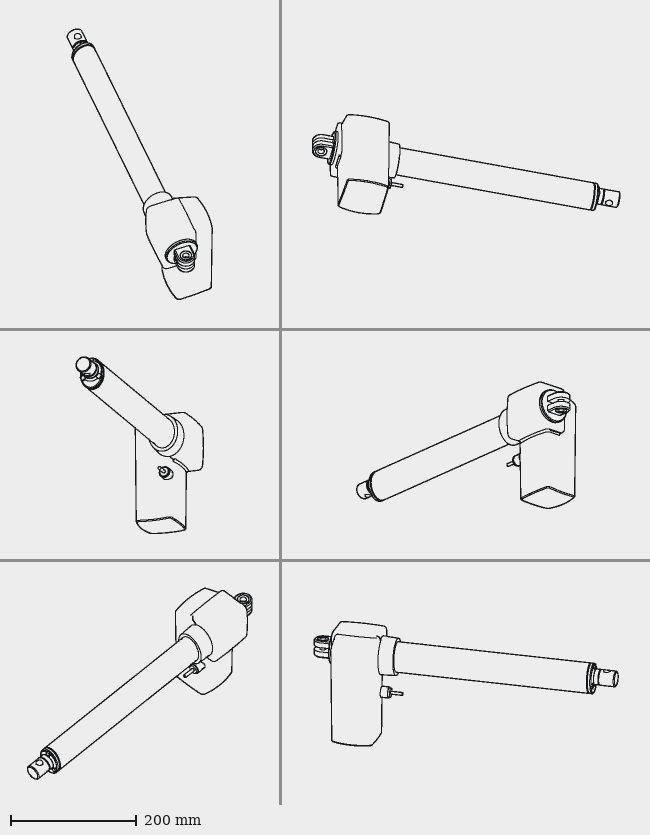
import cadquery as cq
import math

LENGTH = 499.5
OVERLAP = 5.0

ROD_DIAMETER = 25.5
ROD_R = ROD_DIAMETER / 2
EYE_LENGTH = 27.0
EYE_CHAMFER = 1.5
EYE_HOLE_R = 5.5
EYE_HOLE_X = 15.5

TUBE_FRONT_X = 37.0
TUBE_WIDTH = 38.5
TUBE_HEIGHT = 50.5
TUBE_Z = -3.5
TUBE_CHAMFER = 1.5
CAP_GROOVE_X = 42.5
CAP_GROOVE_WIDTH = 1.5
CAP_GROOVE_DEPTH = 0.5

WIPER_FRONT_X = 34.0
WIPER_FRONT_R = 13.5
WIPER_REAR_R = 17.0
LUG_ANGLES = (0, 128, -128)
LUG_WIDTH = 7.0
LUG_LENGTH = 2.5
LUG_REACH = 20.5

HEAD_FRONT_X = 387.5
HEAD_REAR_X = 464.0
HEAD_TOP = 38.0
HEAD_BOTTOM = -39.5
HEAD_NEAR_Y = -32.5
HEAD_FAR_Y = 27.0
HEAD_CROWN = 1.0
HEAD_SIDE_CROWN = 3.0
HEAD_NEAR_R = 8.5
HEAD_FAR_R = 7.0
HEAD_FRONT_R = 5.0
HEAD_REAR_R = 3.0
SEAM_X = 423.0

COLLAR_FRONT_X = 362.5
COLLAR_FRONT_MARGIN = 5.5
COLLAR_REAR_MARGIN = 7.0

LEG_NEAR_Y = -9.5
LEG_FAR_Y = 62.0
LEG_BOTTOM = -141.0
LEG_FRONT_X = 386.5
LEG_NEAR_REAR_X = 460.0
LEG_FAR_REAR_X = 457.0
LEG_FACE_CROWN = 5.0
LEG_DOME_R = 299.5
LEG_DRAFT = 0.5
LEG_NEAR_R = 6.5
LEG_FAR_R = 5.0
LEG_BOTTOM_CHAMFER = 1.5
SHOULDER_INNER_Y = 20.0
SHOULDER_ANGLE = 21.0
SHOULDER_R = 7.5
LEG_FLARE = 4.0
FLARE_ANGLE = 45.0

CABLE_Y = 2.5
CABLE_Z = -65.0
CABLE_FRONT_X = 353.0
CABLE_R = 2.5
GLAND_RIM_X = 372.5
GLAND_RIM_R = 7.5
GLAND_X = 375.5
GLAND_R = 9.0
GLAND_REAR_X = 390.5

FLANGE_R = 27.0
FLANGE_REAR_X = 469.0
FLANGE_CHAMFER = 1.5
EAR_R = 14.0
EAR_OUTER_Z = 14.0
EAR_CHAMFER = 2.0
SLOT_WIDTH = 7.0
PIN_HOLE_R = 5.0
PIN_SEAT_R = 9.0
PIN_SEAT_DEPTH = 1.0


def cylinder_along_x(front_x, rear_x, radius, y=0, z=0):
    """A cylinder between two places along X, at the given Y and Z."""
    return cq.Workplane("YZ", origin=(front_x, y, z)).circle(radius).extrude(rear_x - front_x)


def oval(front_x, margin):
    """An ellipse that stands out from the tube section by the margin, as a sketch at front_x."""
    plane = cq.Workplane("YZ", origin=(front_x, 0, TUBE_Z))
    return plane.ellipse(TUBE_WIDTH / 2 + margin, TUBE_HEIGHT / 2 + margin)


def make_rod_eye():
    eye = cylinder_along_x(0, EYE_LENGTH, ROD_R).faces("<X or >X").chamfer(EYE_CHAMFER)
    hole = cq.Workplane("XY").center(EYE_HOLE_X, 0).circle(EYE_HOLE_R).extrude(ROD_R, both=True)
    return eye.cut(hole)


def make_tube():
    tube = oval(TUBE_FRONT_X, 0).extrude(COLLAR_FRONT_X + OVERLAP - TUBE_FRONT_X)
    tube = tube.faces("<X").chamfer(TUBE_CHAMFER)
    band = oval(CAP_GROOVE_X, OVERLAP).extrude(CAP_GROOVE_WIDTH)
    core = oval(CAP_GROOVE_X, -CAP_GROOVE_DEPTH).extrude(CAP_GROOVE_WIDTH)
    return tube.cut(band.cut(core))


def make_wiper():
    ring = (
        cq.Workplane("YZ", origin=(WIPER_FRONT_X, 0, 0))
        .circle(WIPER_FRONT_R)
        .workplane(offset=TUBE_FRONT_X - WIPER_FRONT_X)
        .circle(WIPER_REAR_R)
        .loft()
    )
    for angle in LUG_ANGLES:
        lug = (
            cq.Workplane("XY")
            .box(LUG_LENGTH + OVERLAP, LUG_WIDTH, LUG_REACH, centered=(False, True, False))
            .translate((TUBE_FRONT_X - LUG_LENGTH, 0, 0))
            .rotate((0, 0, 0), (1, 0, 0), angle)
        )
        ring = ring.union(lug)
    return ring


def make_collar():
    rear_x = HEAD_FRONT_X + OVERLAP
    front = oval(COLLAR_FRONT_X, COLLAR_FRONT_MARGIN).wire().val()
    rear = oval(rear_x, COLLAR_REAR_MARGIN).wire().val()
    return cq.Workplane(cq.Solid.makeLoft([front, rear]))


def make_head():
    """A block whose top, bottom and near faces are crowned, with all edges rounded."""
    mid_z = (HEAD_TOP + HEAD_BOTTOM) / 2
    elevation = (
        cq.Workplane("XZ", origin=(0, HEAD_FAR_Y, 0))
        .moveTo(HEAD_FRONT_X, HEAD_BOTTOM + HEAD_CROWN)
        .threePointArc((SEAM_X, HEAD_BOTTOM), (HEAD_REAR_X, HEAD_BOTTOM + HEAD_CROWN))
        .lineTo(HEAD_REAR_X, HEAD_TOP - HEAD_CROWN)
        .threePointArc((SEAM_X, HEAD_TOP), (HEAD_FRONT_X, HEAD_TOP - HEAD_CROWN))
        .close()
        .extrude(HEAD_FAR_Y - HEAD_NEAR_Y + OVERLAP)
    )
    half_length = (HEAD_REAR_X - HEAD_FRONT_X) / 2
    barrel_r = (half_length**2 + HEAD_CROWN**2) / (2 * HEAD_CROWN)
    barrel = (
        cq.Workplane("YZ", origin=(SEAM_X, HEAD_NEAR_Y + barrel_r, 0))
        .moveTo(0, HEAD_BOTTOM - OVERLAP)
        .lineTo(HEAD_SIDE_CROWN - barrel_r, HEAD_BOTTOM - OVERLAP)
        .threePointArc((-barrel_r, mid_z), (HEAD_SIDE_CROWN - barrel_r, HEAD_TOP + OVERLAP))
        .lineTo(0, HEAD_TOP + OVERLAP)
        .close()
        .revolve(360, (0, 0, 0), (0, 1, 0))
    )
    head = elevation.intersect(barrel)
    for long_face in (">Z", "<Z"):
        head = head.faces(long_face).edges("<Y").fillet(HEAD_NEAR_R)
        head = head.faces(long_face).edges(">Y").fillet(HEAD_FAR_R)
    return head.faces("<X").edges().fillet(HEAD_FRONT_R).faces(">X").edges().fillet(HEAD_REAR_R)


def edges_between(leg, low_y, high_y, low_z, high_z):
    """The edges of the leg whose centres lie inside the given Y and Z ranges."""
    low = (LEG_FRONT_X - OVERLAP, low_y, low_z)
    high = (LEG_NEAR_REAR_X + OVERLAP, high_y, high_z)
    return leg.edges(cq.selectors.BoxSelector(low, high))


def leg_plan(z):
    """The outline of the leg seen along Z, at the given height."""
    return (
        cq.Workplane("XY", origin=(0, 0, z))
        .moveTo(LEG_FRONT_X, LEG_NEAR_Y + LEG_FACE_CROWN)
        .threePointArc((SEAM_X, LEG_NEAR_Y), (LEG_NEAR_REAR_X, LEG_NEAR_Y + LEG_FACE_CROWN))
        .lineTo(LEG_FAR_REAR_X, LEG_FAR_Y - LEG_FACE_CROWN)
        .threePointArc((SEAM_X, LEG_FAR_Y), (LEG_FRONT_X, LEG_FAR_Y - LEG_FACE_CROWN))
        .close()
    )


def make_leg():
    """A drafted column with crowned near and far faces, a sloping shoulder and a domed bottom."""
    column = leg_plan(HEAD_TOP).extrude(LEG_BOTTOM - HEAD_TOP, taper=LEG_DRAFT)
    shoulder_y = LEG_FAR_Y + OVERLAP
    shoulder_fall = (shoulder_y - SHOULDER_INNER_Y) * math.tan(math.radians(SHOULDER_ANGLE))
    roof_z = HEAD_TOP - HEAD_CROWN
    above_shoulder = (
        cq.Workplane("YZ", origin=(LEG_FRONT_X - OVERLAP, 0, 0))
        .moveTo(shoulder_y, roof_z - shoulder_fall)
        .lineTo(SHOULDER_INNER_Y, roof_z)
        .lineTo(LEG_NEAR_Y - OVERLAP, 0)
        .lineTo(LEG_NEAR_Y - OVERLAP, HEAD_TOP + OVERLAP)
        .lineTo(shoulder_y, HEAD_TOP + OVERLAP)
        .close()
        .extrude(LEG_NEAR_REAR_X - LEG_FRONT_X + 2 * OVERLAP)
    )
    leg = column.cut(above_shoulder)
    leg = edges_between(leg, LEG_NEAR_Y, 0, LEG_BOTTOM + OVERLAP, 0).fillet(LEG_NEAR_R)
    leg = edges_between(leg, LEG_FAR_Y - LEG_FACE_CROWN, LEG_FAR_Y, 0, HEAD_TOP).fillet(SHOULDER_R)
    far_y = SHOULDER_INNER_Y + OVERLAP
    leg = edges_between(leg, far_y, LEG_FAR_Y, LEG_BOTTOM + OVERLAP, HEAD_TOP).fillet(LEG_FAR_R)
    mid_y = (LEG_NEAR_Y + LEG_FAR_Y) / 2
    dome = cq.Workplane("XY", origin=(SEAM_X, mid_y, LEG_BOTTOM + LEG_DOME_R)).sphere(LEG_DOME_R)
    leg = leg.intersect(dome)
    return leg.faces("<Z").edges().chamfer(LEG_BOTTOM_CHAMFER)


def make_leg_flare():
    """A bevelled skirt around the leg, kept to the flat part of the head's underside."""
    foot_z = HEAD_BOTTOM + HEAD_CROWN - LEG_FLARE
    draft_inset = (HEAD_TOP - foot_z) * math.tan(math.radians(LEG_DRAFT))
    rounded_plan = leg_plan(foot_z).offset2D(-draft_inset - LEG_NEAR_R).offset2D(LEG_NEAR_R)
    flare = rounded_plan.extrude(LEG_FLARE, taper=-FLARE_ANGLE)
    front_x = HEAD_FRONT_X + HEAD_FRONT_R
    near_y = HEAD_NEAR_Y + HEAD_NEAR_R
    underside = cq.Workplane("XY").box(
        HEAD_REAR_X - HEAD_REAR_R - front_x,
        HEAD_FAR_Y - HEAD_FAR_R - near_y,
        2 * (OVERLAP - HEAD_BOTTOM),
        centered=(False, False, True),
    )
    return flare.intersect(underside.translate((front_x, near_y, 0)))


def make_gland():
    gland = cylinder_along_x(GLAND_X, GLAND_REAR_X, GLAND_R, CABLE_Y, CABLE_Z)
    rim = cylinder_along_x(GLAND_RIM_X, GLAND_X, GLAND_RIM_R, CABLE_Y, CABLE_Z)
    cable = cylinder_along_x(CABLE_FRONT_X, GLAND_RIM_X, CABLE_R, CABLE_Y, CABLE_Z)
    return gland.union(rim).union(cable)


def make_actuator():
    """The fixed body: rod stub, wiper, tube, collar, head, leg and cable."""
    stub = cylinder_along_x(EYE_LENGTH, TUBE_FRONT_X + OVERLAP, ROD_R)
    housing = make_head().union(make_leg()).union(make_leg_flare())
    body = housing.union(make_collar()).union(make_tube())
    return body.union(make_wiper()).union(stub).union(make_gland())


def make_clevis():
    flange = cylinder_along_x(HEAD_REAR_X, FLANGE_REAR_X, FLANGE_R).faces(">X").chamfer(FLANGE_CHAMFER)
    pin_x = LENGTH - EAR_R
    ears = (
        cq.Workplane("XY", origin=(0, 0, -EAR_OUTER_Z))
        .moveTo(FLANGE_REAR_X, -EAR_R)
        .lineTo(pin_x, -EAR_R)
        .threePointArc((LENGTH, 0), (pin_x, EAR_R))
        .lineTo(FLANGE_REAR_X, EAR_R)
        .close()
        .extrude(2 * EAR_OUTER_Z)
        .faces("<Z or >Z")
        .edges("not(<X)")
        .chamfer(EAR_CHAMFER)
    )
    slot = cq.Workplane("XY").box(LENGTH - FLANGE_REAR_X, 2 * EAR_R, SLOT_WIDTH, centered=(False, True, True))
    ears = ears.cut(slot.translate((FLANGE_REAR_X, 0, 0)))
    pin_axis = cq.Workplane("XY").center(pin_x, 0)
    ears = ears.cut(pin_axis.circle(PIN_HOLE_R).extrude(EAR_OUTER_Z, both=True))
    seats = pin_axis.circle(PIN_SEAT_R).extrude(EAR_OUTER_Z, both=True)
    seats = seats.cut(pin_axis.circle(PIN_SEAT_R).extrude(EAR_OUTER_Z - PIN_SEAT_DEPTH, both=True))
    return flange.union(ears.cut(seats))


rod_eye = make_rod_eye()
actuator = make_actuator()
clevis = make_clevis()
result = cq.Compound.makeCompound([rod_eye.val(), actuator.val(), clevis.val()])